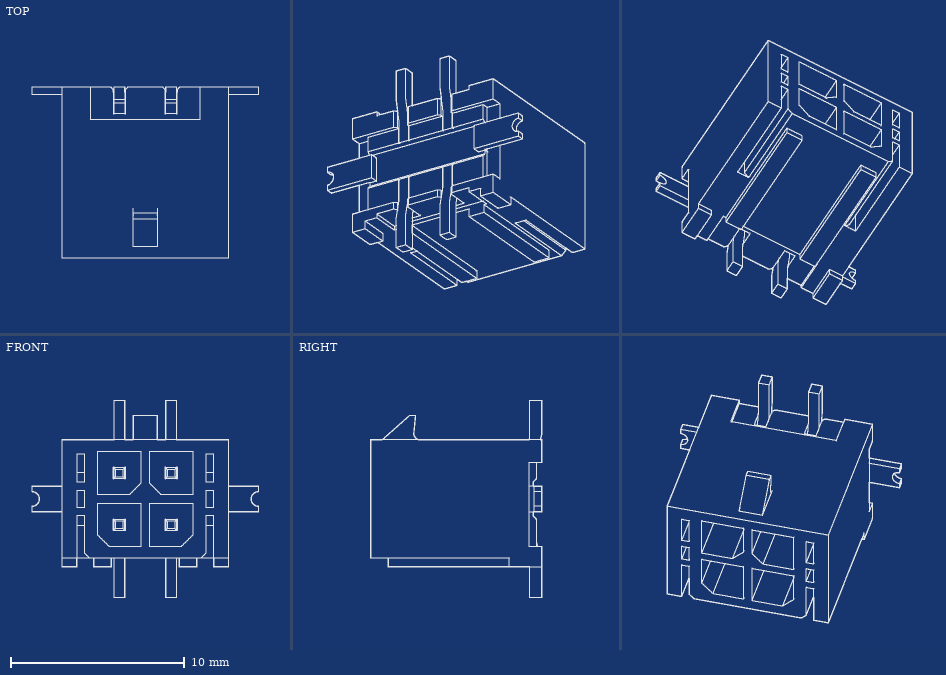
import cadquery as cq


LENGTH = 9.9
SPAN_X = 13.09
SPAN_Z = 11.4
FRONT = -LENGTH

WIDTH = 9.65
HEIGHT = 6.85
TOP = HEIGHT / 2
SIDE_WALL = 0.88
FOOT_HEIGHT = 0.5
FOOT_LENGTH = 1.9
RAIL_INNER_X = 1.96
RAIL_WIDTH = 1.02
RAIL_SETBACK = 1.01

PITCH = 3.0
CAVITY = 2.5
CAVITY_CORNER = 0.67
REAR_WALL = 2.5

PIN = 0.64
PIN_INNER_Z = (PITCH - PIN) / 2
PIN_TIP = 0.43
PIN_TIP_LENGTH = 0.55
PIN_TIP_SETBACK = 2.5
PIN_REAR = 0.3
LEG_DEPTH = 0.72
LEG_KINK_INNER_Z = 2.51
LEG_KINK_REAR_Z = 3.76
LEG_KINK_FRONT_Z = 3.51

RECESS_WIDTH = 6.31
RECESS_DEPTH = 0.25
SLOT_WIDTH = 0.7
SLOT_LENGTH = 1.55
SLOT_MOUTH_CHAMFER = 0.16

RELIEF_TOP = 2.11
RELIEF_BOTTOM = -2.74
SIDE_RELIEF = 0.73
TROUGH_DEPTH = 0.5

NAIL_THICKNESS = 0.45
NAIL_HEIGHT = 1.49
NAIL_LENGTH = 4.0
NAIL_BEND_RADIUS = 0.04
NAIL_NOTCH_RADIUS = 0.42
NAIL_OUTER_X = WIDTH / 2 - SIDE_WALL
NAIL_INNER_X = NAIL_OUTER_X - NAIL_THICKNESS

POCKET_DEPTH = 5.0
MID_POCKET_HEIGHT = 0.97
POCKET_INNER_Z = 0.97
POCKET_OUTER_Z = 2.59
POCKET_RAMP_RISE = 0.55
POCKET_RAMP_RUN = 0.55
GROOVE_CHAMFER = 0.29

LATCH_WIDTH = 1.4
LATCH_TOP = 4.83
LATCH_TOE_Y = -9.23
LATCH_CREST_Y = -7.65
LATCH_LIP_Y = -7.29
LATCH_NECK_Y = -7.4
LATCH_NECK_Z = 3.77
LATCH_HEEL_Y = -7.04
LATCH_HEEL_RADIUS = 0.37

SIDES = (-1, 1)
PIN_PLACES = [(side * PITCH / 2, row) for side in SIDES for row in SIDES]


def block(x_range, y_range, z_range):
    """Axis-aligned block between two limits along each axis, given in any order."""
    (x0, x1), (y0, y1), (z0, z1) = sorted(x_range), sorted(y_range), sorted(z_range)
    return cq.Workplane("XY").box(x1 - x0, y1 - y0, z1 - z0, centered=False).translate((x0, y0, z0))


def yz_prism(points, x_range):
    """Outline of (y, z) points extruded between two X limits."""
    x0, x1 = sorted(x_range)
    return cq.Workplane("YZ").polyline(points).close().extrude(x1 - x0).translate((x0, 0, 0))


def cavity(x, row):
    """Square contact cavity with one chamfered lower corner."""
    half = CAVITY / 2
    z = row * PITCH / 2
    chamfer_side = row * (-1 if x > 0 else 1)
    chamfer_x = x + chamfer_side * half
    plain_x = x - chamfer_side * half
    outline = [
        (plain_x, z - half),
        (plain_x, z + half),
        (chamfer_x, z + half),
        (chamfer_x, z - half + CAVITY_CORNER),
        (chamfer_x - chamfer_side * CAVITY_CORNER, z - half),
    ]
    prism = cq.Workplane("XZ").polyline(outline).close().extrude(LENGTH - REAR_WALL)
    return prism.translate((0, -REAR_WALL, 0))


def pin_passage(x, row):
    """Slot for the pin leg, open to the rear with a flared mouth, and the pin hole ahead of it."""
    half = SLOT_WIDTH / 2
    flare = half + SLOT_MOUTH_CHAMFER
    outline = [
        (x - half, -SLOT_LENGTH),
        (x + half, -SLOT_LENGTH),
        (x + half, -SLOT_MOUTH_CHAMFER),
        (x + flare, 0),
        (x - flare, 0),
        (x - half, -SLOT_MOUTH_CHAMFER),
    ]
    profile = cq.Workplane("XY", origin=(0, 0, PIN_INNER_Z)).polyline(outline).close()
    slot = profile.extrude(TOP - PIN_INNER_Z)
    hole = block(
        (x - half, x + half),
        (-REAR_WALL, -SLOT_LENGTH),
        (PIN_INNER_Z, PIN_INNER_Z + PIN),
    )
    cutter = slot.union(hole)
    return cutter if row > 0 else cutter.mirror("XY")


def rear_relief():
    """Relief across the rear face, deeper through the side walls, with a chamfered trough."""
    rim = PIN_INNER_Z
    bed = rim - (TROUGH_DEPTH - PIN_REAR)
    outline = [
        (0, RELIEF_BOTTOM),
        (-PIN_REAR, RELIEF_BOTTOM),
        (-PIN_REAR, -rim),
        (-TROUGH_DEPTH, -bed),
        (-TROUGH_DEPTH, bed),
        (-PIN_REAR, rim),
        (-PIN_REAR, RELIEF_TOP),
        (0, RELIEF_TOP),
    ]
    relief = yz_prism(outline, (-WIDTH / 2, WIDTH / 2))
    for side in SIDES:
        relief = relief.union(block(
            (side * NAIL_OUTER_X, side * WIDTH / 2),
            (-SIDE_RELIEF, 0),
            (RELIEF_BOTTOM, RELIEF_TOP),
        ))
    return relief


def front_pockets(side):
    """Closed upper and middle pockets and the open lower groove in line with one nail."""
    x_range = (side * NAIL_INNER_X, side * NAIL_OUTER_X)
    pocket_end = FRONT + POCKET_DEPTH
    middle = block(x_range, (FRONT, pocket_end), (-MID_POCKET_HEIGHT / 2, MID_POCKET_HEIGHT / 2))

    def ramped(direction, outer_z):
        return yz_prism([
            (FRONT, direction * POCKET_INNER_Z),
            (pocket_end - POCKET_RAMP_RUN, direction * POCKET_INNER_Z),
            (pocket_end, direction * (POCKET_INNER_Z + POCKET_RAMP_RISE)),
            (pocket_end, direction * outer_z),
            (FRONT, direction * outer_z),
        ], x_range)

    edge_x = side * NAIL_INNER_X
    edge = [
        (edge_x, -TOP),
        (edge_x - side * GROOVE_CHAMFER, -TOP),
        (edge_x, -TOP + GROOVE_CHAMFER),
    ]
    groove_edge = cq.Workplane("XZ", origin=(0, pocket_end, 0)).polyline(edge).close().extrude(POCKET_DEPTH)
    return middle.union(ramped(1, POCKET_OUTER_Z)).union(ramped(-1, TOP)).union(groove_edge)


def latch():
    """Hooked latch ramp on the top face."""
    profile = (
        cq.Workplane("YZ")
        .moveTo(LATCH_HEEL_Y, TOP)
        .lineTo(LATCH_TOE_Y, TOP)
        .lineTo(LATCH_CREST_Y, LATCH_TOP)
        .lineTo(LATCH_LIP_Y, LATCH_TOP)
        .lineTo(LATCH_NECK_Y, LATCH_NECK_Z)
        .radiusArc((LATCH_HEEL_Y, TOP), -LATCH_HEEL_RADIUS)
        .close()
    )
    return profile.extrude(LATCH_WIDTH / 2, both=True)


def foot_and_rail(side):
    """Rear corner foot and the long rail beside it, under the housing."""
    z_range = (-TOP - FOOT_HEIGHT, -TOP)
    foot = block((side * NAIL_OUTER_X, side * WIDTH / 2), (-FOOT_LENGTH, 0), z_range)
    rail_x = (side * RAIL_INNER_X, side * (RAIL_INNER_X + RAIL_WIDTH))
    rail = block(rail_x, (FRONT + RAIL_SETBACK, -FOOT_LENGTH), z_range)
    return foot, rail


def leg_recess(row):
    """Shallow recess in the top or bottom face around the pin legs."""
    return block(
        (-RECESS_WIDTH / 2, RECESS_WIDTH / 2),
        (-FOOT_LENGTH, 0),
        (row * (TOP - RECESS_DEPTH), row * TOP),
    )


def nail_slot(side):
    """Slot from the rear face that holds the blade of one nail."""
    return block(
        (side * NAIL_INNER_X, side * NAIL_OUTER_X),
        (-NAIL_LENGTH, 0),
        (-NAIL_HEIGHT / 2, NAIL_HEIGHT / 2),
    )


def make_housing():
    body = block((-WIDTH / 2, WIDTH / 2), (FRONT, 0), (-TOP, TOP)).union(latch())
    for side in SIDES:
        foot, rail = foot_and_rail(side)
        body = body.union(foot).union(rail)
    body = body.cut(rear_relief())
    for row in SIDES:
        body = body.cut(leg_recess(row))
    for x, row in PIN_PLACES:
        body = body.cut(cavity(x, row)).cut(pin_passage(x, row))
    for side in SIDES:
        body = body.cut(front_pockets(side)).cut(nail_slot(side))
    return body


def make_pin(x, row):
    """Square pin along Y with a tapered tip and a leg that leans back, then runs along Z."""
    high = PIN_INNER_Z + PIN
    shoulder_y = FRONT + PIN_TIP_SETBACK + PIN_TIP_LENGTH
    outline = [
        (shoulder_y, PIN_INNER_Z),
        (-PIN_REAR, PIN_INNER_Z),
        (-PIN_REAR, LEG_KINK_INNER_Z),
        (0, LEG_KINK_REAR_Z),
        (0, SPAN_Z / 2),
        (-LEG_DEPTH, SPAN_Z / 2),
        (-LEG_DEPTH, LEG_KINK_FRONT_Z),
        (-PIN_REAR - PIN, LEG_KINK_INNER_Z),
        (-PIN_REAR - PIN, high),
        (shoulder_y, high),
    ]
    shank = yz_prism(outline, (x - PIN / 2, x + PIN / 2))
    tip = (
        cq.Workplane("XZ", origin=(x, shoulder_y, PITCH / 2))
        .rect(PIN, PIN)
        .workplane(offset=PIN_TIP_LENGTH)
        .rect(PIN_TIP, PIN_TIP)
        .loft()
    )
    pin = shank.union(tip)
    return pin if row > 0 else pin.mirror("XY")


def make_nail(side):
    """L-shaped solder nail: a blade inside the housing and a flange with a round end notch."""
    outline = [
        (side * NAIL_INNER_X, 0),
        (side * NAIL_INNER_X, -NAIL_LENGTH),
        (side * NAIL_OUTER_X, -NAIL_LENGTH),
        (side * NAIL_OUTER_X, -NAIL_THICKNESS),
        (side * SPAN_X / 2, -NAIL_THICKNESS),
        (side * SPAN_X / 2, 0),
    ]
    strip = cq.Workplane("XY").polyline(outline).close().extrude(NAIL_HEIGHT / 2, both=True)
    inside_corner = cq.selectors.NearestToPointSelector((side * NAIL_OUTER_X, -NAIL_THICKNESS, 0))
    strip = strip.edges("|Z").edges(inside_corner).fillet(NAIL_BEND_RADIUS)
    notch = (
        cq.Workplane("XZ", origin=(side * SPAN_X / 2, 0, 0))
        .circle(NAIL_NOTCH_RADIUS)
        .extrude(NAIL_THICKNESS)
    )
    return strip.cut(notch)


housing = make_housing()
pins = [make_pin(x, row) for x, row in PIN_PLACES]
nails = [make_nail(side) for side in SIDES]

result = cq.Compound.makeCompound([
    housing.val(),
    *[pin.val() for pin in pins],
    *[nail.val() for nail in nails],
])